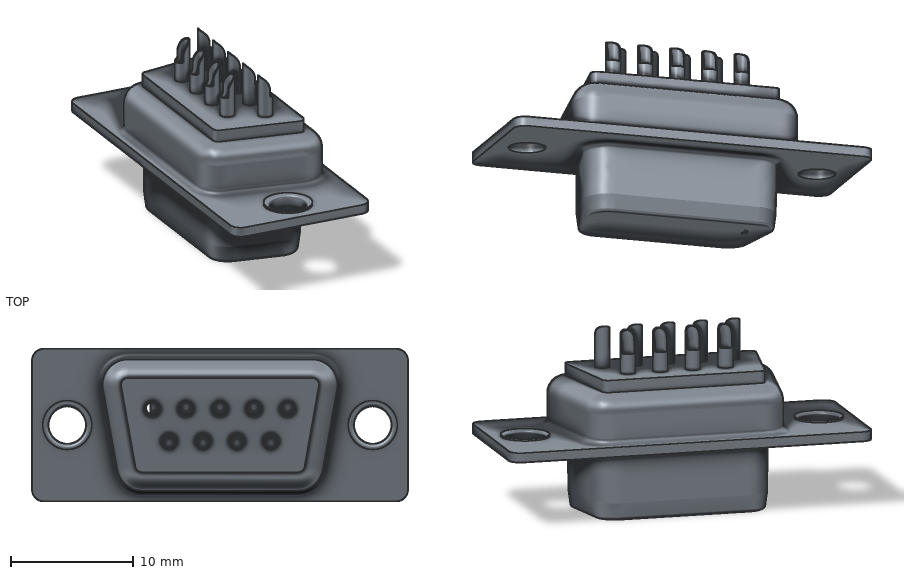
import cadquery as cq
import math

flange_length = 30.8
flange_width = 12.5
flange_thickness = 0.8
flange_corner_radius = 1.0

side_angle = 10.0
foot_radius = 0.52

rear_wide_half = 7.58
rear_half_height = 3.33
insulator_corner_radius = 0.52
shell_round_radius = 1.5
rear_corner_radius = insulator_corner_radius + shell_round_radius
rear_shell_height = 4.07
insulator_height = 5.08

front_wide_half = 6.22
front_half_height = 2.03
front_corner_radius = 2.0
front_shell_height = 5.92
front_draft_angle = 0.5
tip_band_height = 1.48
tip_band_inset = 0.2
tip_edge_radius = 0.3

mount_hole_spacing = 25.02
mount_hole_diameter = 3.05
rim_diameter = 4.0
rim_height = 0.15
rim_round_radius = 0.3

wide_row_count = 5
narrow_row_count = 4
pin_pitch = 2.77
row_spacing = 2.77
pin_diameter = 1.23
cup_bore_diameter = 1.02
pin_height = 8.6
cup_step_height = 6.75
cup_cut_depth = 0.77
cup_crest_drop = 1.05
crest_bulge_depth = 0.5
crest_bulge_drop = 0.43
cup_step_radius = 0.25
end_slot_offset = 0.15

flange_top = flange_thickness / 2
flange_bottom = -flange_top
rim_top = flange_top + rim_height
insulator_top = flange_top + insulator_height
pin_tip = flange_top + pin_height
front_tip = flange_bottom - front_shell_height

level_tolerance = 0.003


def plane_at(level):
    return cq.Workplane("XY", origin=(0, 0, level))


def level_box(half_x, half_y, level):
    """Selector for whatever is centred on one level inside a rectangle."""
    low = (-half_x, -half_y, level - level_tolerance)
    high = (half_x, half_y, level + level_tolerance)
    return cq.selectors.BoxSelector(low, high)


def d_outline(level, wide_half, half_height, corner_radius):
    """D-shaped outline with its wide side towards +Y."""
    narrow_half = wide_half - 2 * half_height * math.tan(math.radians(side_angle))
    corner_centres = [
        (-wide_half, half_height),
        (wide_half, half_height),
        (narrow_half, -half_height),
        (-narrow_half, -half_height),
    ]
    return plane_at(level).polyline(corner_centres).close().offset2D(corner_radius)


def flange():
    plate = cq.Workplane("XY").box(flange_length, flange_width, flange_thickness)
    return plate.edges("|Z").fillet(flange_corner_radius)


def rear_shell():
    outline = d_outline(0, rear_wide_half, rear_half_height, rear_corner_radius)
    body = outline.extrude(flange_top + rear_shell_height)
    return body.faces(">Z").edges().fillet(shell_round_radius)


def insulator():
    outline = d_outline(0, rear_wide_half, rear_half_height, insulator_corner_radius)
    return outline.extrude(insulator_top)


def front_shell():
    outline = d_outline(flange_bottom, front_wide_half, front_half_height, front_corner_radius)
    body = outline.extrude(-front_shell_height, taper=front_draft_angle)
    body = body.faces("<Z").chamfer(tip_band_height, tip_band_inset)
    return body.faces("<Z").edges().fillet(tip_edge_radius)


def round_foot(body, level):
    """Fillet the edges where a shell meets the flange face at this level."""
    half_x = mount_hole_spacing / 2
    half_y = flange_width / 2 - foot_radius / 2
    return body.edges(level_box(half_x, half_y, level)).fillet(foot_radius)


def mount_cylinders(diameter, bottom, top):
    half = mount_hole_spacing / 2
    return plane_at(bottom).pushPoints([(-half, 0), (half, 0)]).circle(diameter / 2).extrude(top - bottom)


def add_mounts(body):
    body = body.union(mount_cylinders(rim_diameter, 0, rim_top))
    body = body.cut(mount_cylinders(mount_hole_diameter, flange_bottom, rim_top))
    rim_faces = body.faces(level_box(flange_length / 2, rim_diameter / 2, rim_top))
    bore_edges = rim_faces.edges(cq.selectors.RadiusNthSelector(0))
    return bore_edges.fillet(rim_round_radius)


def solder_cup():
    """Hollow pin on the Z axis, cut open towards +Y above its step."""
    back = -pin_diameter / 2
    front = pin_diameter / 2
    upright = back + cup_cut_depth
    step = flange_top + cup_step_height
    pin = plane_at(0).circle(pin_diameter / 2).extrude(pin_tip)
    bore = plane_at(insulator_top).circle(cup_bore_diameter / 2).extrude(pin_tip - insulator_top)
    opening = (
        cq.Workplane("YZ")
        .moveTo(back, pin_tip)
        .threePointArc(
            (back + crest_bulge_depth, pin_tip - crest_bulge_drop),
            (upright, pin_tip - cup_crest_drop),
        )
        .lineTo(upright, step + cup_step_radius)
        .radiusArc((upright + cup_step_radius, step), -cup_step_radius)
        .lineTo(front, step)
        .lineTo(front, pin_tip)
        .close()
        .extrude(pin_diameter, both=True)
    )
    return pin.cut(bore).cut(opening)


def row_start(count):
    return -(count - 1) / 2 * pin_pitch


def add_row(body, count, row_y, turn):
    """Row of cups, each turned about its own axis."""
    cup = solder_cup().rotate((0, 0, 0), (0, 0, 1), turn)
    for index in range(count):
        body = body.union(cup.translate((row_start(count) + index * pin_pitch, row_y, 0)))
    return body


def end_slot():
    """Through slot in the first wide-row pin: the -X segment of its bore."""
    bore_radius = cup_bore_diameter / 2
    half_chord = math.sqrt(bore_radius**2 - end_slot_offset**2)
    segment = (
        plane_at(front_tip)
        .moveTo(-end_slot_offset, half_chord)
        .threePointArc((-bore_radius, 0), (-end_slot_offset, -half_chord))
        .close()
        .extrude(pin_tip - front_tip)
    )
    return segment.translate((row_start(wide_row_count), row_spacing / 2, 0))


result = round_foot(flange().union(rear_shell()), flange_top)
result = round_foot(result.union(front_shell()), flange_bottom)
result = result.union(insulator())
result = add_mounts(result)
result = add_row(result, wide_row_count, row_spacing / 2, 0)
result = add_row(result, narrow_row_count, -row_spacing / 2, 180)
result = result.cut(end_slot())